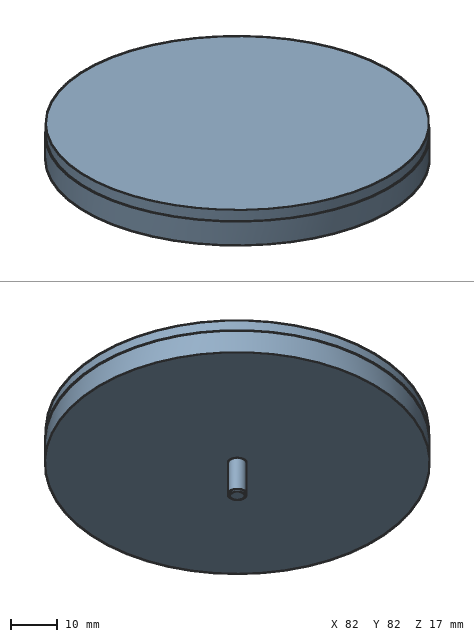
import cadquery as cq

base_diameter = 82.0
total_height = 17.0

base_height = 5.7
cap_height = 2.7
cap_step = 0.2
cap_diameter = base_diameter - 2 * cap_step

pin_diameter = 4.0
pin_length = total_height - base_height - cap_height
pin_chamfer = 0.4

base = cq.Workplane("XY").circle(base_diameter / 2).extrude(base_height)
cap = (
    cq.Workplane("XY")
    .workplane(offset=base_height)
    .circle(cap_diameter / 2)
    .extrude(cap_height)
)
pin = (
    cq.Workplane("XY")
    .circle(pin_diameter / 2)
    .extrude(-pin_length)
    .faces("<Z")
    .chamfer(pin_chamfer)
)

result = base.union(cap).union(pin)